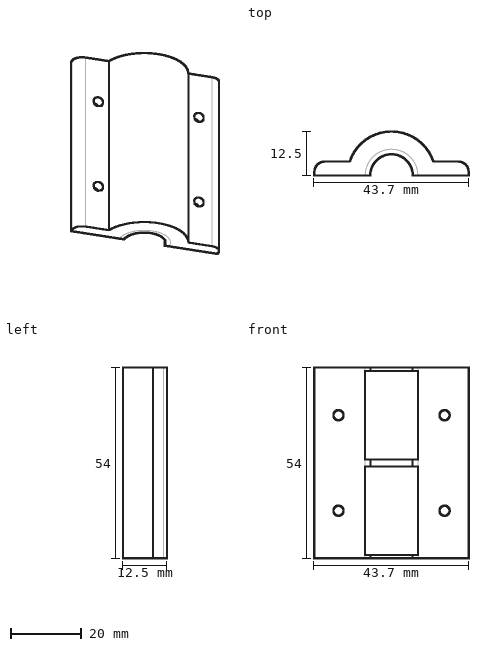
import cadquery as cq

width = 43.69
length = 54.0
flange_thickness = 4.0
flange_round = 3.0

barrel_radius = 12.5
bore_radius = 7.45

rib_inner_radius = 6.0
end_rib_width = 1.0
middle_rib_width = 2.0

hole_diameter = 2.8
hole_spacing_x = 30.0
hole_spacing_z = length / 2


def half_cylinder(radius, height, z_bottom):
    """Half disc on the +Y side of the barrel axis, extruded along Z."""
    return (
        cq.Workplane("XY", origin=(0, 0, z_bottom))
        .moveTo(-radius, 0)
        .threePointArc((0, radius), (radius, 0))
        .close()
        .extrude(height)
    )


def make_flanges():
    """Flat plate with its two outer long edges rounded."""
    plate = cq.Workplane("XY").box(width, flange_thickness, length, centered=(True, False, True))
    return plate.edges("|Z and >Y").fillet(flange_round)


def make_rib(rib_width, z_bottom):
    """Half ring that narrows the bore."""
    outer = half_cylinder(bore_radius, rib_width, z_bottom)
    return outer.cut(half_cylinder(rib_inner_radius, rib_width, z_bottom))


def make_screw_holes():
    """Four cylinders along Y that pierce the flanges when cut away."""
    return (
        cq.Workplane("XZ")
        .rect(hole_spacing_x, hole_spacing_z, forConstruction=True)
        .vertices()
        .circle(hole_diameter / 2)
        .extrude(-flange_thickness)
    )


bottom = -length / 2
top = length / 2

body = make_flanges().union(half_cylinder(barrel_radius, length, bottom))
body = body.cut(half_cylinder(bore_radius, length, bottom))
body = body.cut(make_screw_holes())

ribs = [
    (end_rib_width, bottom),
    (middle_rib_width, -middle_rib_width / 2),
    (end_rib_width, top - end_rib_width),
]
for rib_width, z_bottom in ribs:
    body = body.union(make_rib(rib_width, z_bottom), clean=False)

result = body